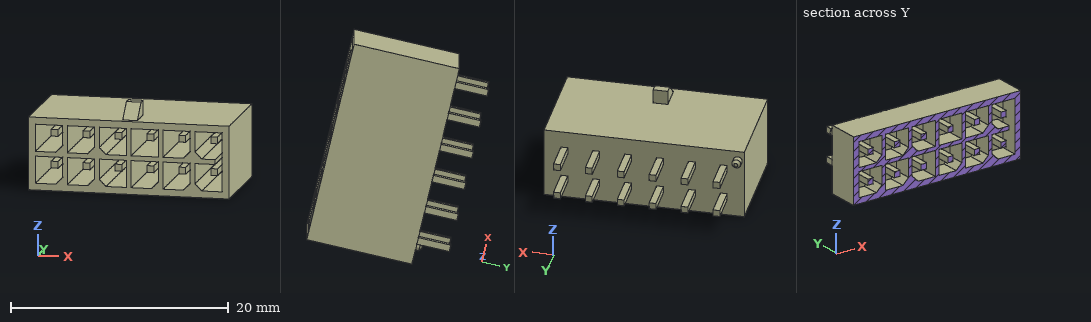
import cadquery as cq

body_width = 18.85
body_depth = 9.93
body_height = 6.86

column_count = 6
row_count = 2
pitch = 3.0
left_column_x = -(column_count - 1) * pitch / 2
bottom_row_z = (body_height - (row_count - 1) * pitch) / 2

socket_size = 2.55
socket_chamfer = 0.65
rear_wall = 1.5
socket_depth = body_depth - rear_wall
bottom_row_keys = ("right", "right", "left", "right", "right", "left")
top_row_keys = ("right", "right", "left", "none", "right", "left")

slot_width = 0.65

pin_size = 0.65
pin_tip_recess = 2.45
pin_tail_length = 3.15

latch_width = 1.38
latch_height = 1.4
latch_toe_y = 0.57
latch_heel_y = 2.96
latch_flat_length = 0.81

peg_diameter = 0.85
peg_length = 0.81
peg_chamfer = 0.25
peg_from_side = 0.62
peg_from_top = 0.98


def column_x(column):
    return left_column_x + column * pitch


def row_z(row):
    return bottom_row_z + row * pitch


def box_from_front(width, start_y, end_y, height, x, z):
    """Box running along Y, centred on (x, z)."""
    box = cq.Workplane("XY").box(width, end_y - start_y, height, centered=(True, False, True))
    return box.translate((x, start_y, z))


def make_socket(x, z, key):
    """Square socket volume with one lower corner bevelled."""
    socket = box_from_front(socket_size, 0, socket_depth, socket_size, x, z)
    if key == "left":
        socket = socket.edges("|Y and <X and <Z").chamfer(socket_chamfer)
    elif key == "right":
        socket = socket.edges("|Y and >X and <Z").chamfer(socket_chamfer)
    return socket


def make_joining_slot():
    slot_x = column_x(column_count - 1) + (socket_size - slot_width) / 2
    return box_from_front(slot_width, 0, socket_depth, pitch, slot_x, body_height / 2)


def make_pin(x, z):
    return box_from_front(pin_size, pin_tip_recess, body_depth + pin_tail_length, pin_size, x, z)


def make_latch():
    latch_top = body_height + latch_height
    return (
        cq.Workplane("YZ")
        .moveTo(latch_toe_y, body_height)
        .lineTo(latch_heel_y, body_height)
        .lineTo(latch_heel_y, latch_top)
        .lineTo(latch_heel_y - latch_flat_length, latch_top)
        .close()
        .extrude(latch_width / 2, both=True)
    )


def make_peg():
    """Round peg along Y with a bevelled tip."""
    base = cq.Vector(peg_from_side - body_width / 2, body_depth, body_height - peg_from_top)
    cylinder = cq.Solid.makeCylinder(peg_diameter / 2, peg_length, base, cq.Vector(0, 1, 0))
    return cq.Workplane(cylinder).faces(">Y").chamfer(peg_chamfer)


result = cq.Workplane("XY").box(body_width, body_depth, body_height, centered=(True, False, False))

for row, keys in enumerate((bottom_row_keys, top_row_keys)):
    for column, key in enumerate(keys):
        result = result.cut(make_socket(column_x(column), row_z(row), key))
result = result.cut(make_joining_slot())

for row in range(row_count):
    for column in range(column_count):
        result = result.union(make_pin(column_x(column), row_z(row)))

result = result.union(make_latch()).union(make_peg())